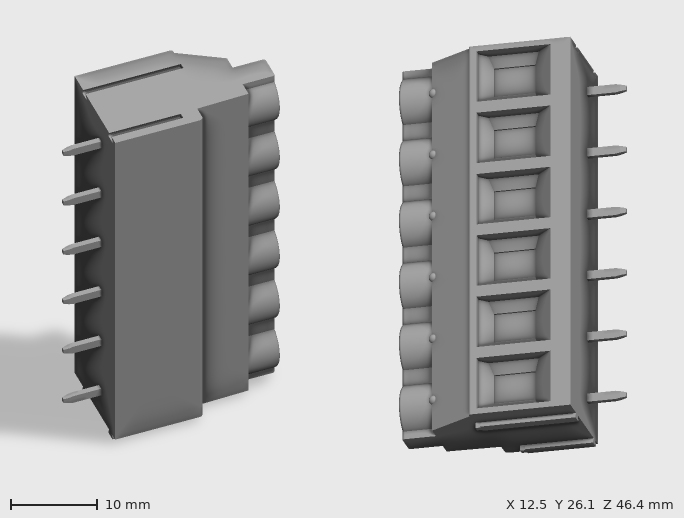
import cadquery as cq


POLES = 6
TOTAL_HEIGHT = 46.35
RIB_HEIGHT = 0.65
BODY_HEIGHT = TOTAL_HEIGHT - RIB_HEIGHT
PITCH = BODY_HEIGHT / POLES
POLE_CENTERS = [(pole + 0.5) * PITCH for pole in range(POLES)]

BODY_WIDTH = 12.5
BODY_TOP_Y = 21.45
SHOULDER_Y = 17.4
ENTRY_LEDGE_Y = 12.15
ENTRY_LEDGE_WIDTH = 0.55
ENTRY_EDGE_RADIUS = 0.3
BACK_STEP_Y = 11.0
BACK_STEP_X = 10.5
BACK_EDGE_RADIUS = 0.5
SHOULDER_START_X = 3.7
SHOULDER_END_X = 10.35

TOWER_X = 7.0
TOWER_RADIUS = 3.25
TOWER_EDGE_RADIUS = 0.32
WALL_THICKNESS = 3.1
BASE_OVERLAP = 0.45
BASE_Y = SHOULDER_Y - BASE_OVERLAP

BUMP_RADIUS = 0.55
BUMP_X = 3.85
BUMP_Y = 17.3

ENTRY_LOW_Y = 2.35
ENTRY_HIGH_Y = 11.15
ENTRY_HEIGHT = 6.25
SEAT_LOW_Y = 4.75
SEAT_HIGH_Y = 9.75
SEAT_HEIGHT = 3.5
FUNNEL_DEPTH = SEAT_LOW_Y - ENTRY_LOW_Y
HIGH_WALL_DEPTH = FUNNEL_DEPTH - (ENTRY_HIGH_Y - SEAT_HIGH_Y)
SIDE_WALL_DEPTH = 1.9
SEAT_DEPTH = 2.7

PIN_X = 7.88
PIN_WIDTH = 0.7
PIN_HEIGHT = 1.0
PIN_LENGTH = 4.65
PIN_ROOT = 0.45
TIP_WIDTH = 0.4
TIP_HEIGHT = 0.55
X_TAPER_START = 3.95
Z_TAPER_START = 3.45

DOVETAILS = [(3.0, 12.15), (11.03, 8.9)]
DOVETAIL_NECK = 0.75
DOVETAIL_BASE = 1.3
END_CLEARANCE = 0.15
TAPER_HEIGHT = 0.45
NOSE_LENGTH = 0.65


def make_housing():
    """Extrude the housing outline and round its two outer shoulders."""
    housing = (
        cq.Workplane("XY")
        .moveTo(0, 0)
        .lineTo(0, ENTRY_LEDGE_Y)
        .lineTo(ENTRY_LEDGE_WIDTH, ENTRY_LEDGE_Y)
        .lineTo(SHOULDER_START_X, SHOULDER_Y)
        .lineTo(SHOULDER_END_X, SHOULDER_Y)
        .lineTo(BACK_STEP_X, BACK_STEP_Y)
        .lineTo(BODY_WIDTH, BACK_STEP_Y)
        .lineTo(BODY_WIDTH, 0)
        .close()
        .extrude(BODY_HEIGHT)
    )
    entry_edge = cq.selectors.NearestToPointSelector((0, ENTRY_LEDGE_Y, BODY_HEIGHT / 2))
    back_edge = cq.selectors.NearestToPointSelector((BODY_WIDTH, BACK_STEP_Y, BODY_HEIGHT / 2))
    housing = housing.edges("|Z").edges(entry_edge).fillet(ENTRY_EDGE_RADIUS)
    return housing.edges("|Z").edges(back_edge).fillet(BACK_EDGE_RADIUS)


def make_wall():
    """Wall running the full height, rounded along its two long top edges."""
    return (
        cq.Workplane("XY")
        .box(WALL_THICKNESS, BODY_TOP_Y - BASE_Y, BODY_HEIGHT, centered=(True, False, False))
        .translate((TOWER_X, BASE_Y, 0))
        .faces(">Y")
        .edges("|Z")
        .fillet(TOWER_EDGE_RADIUS)
    )


def make_tower(center_z):
    """Round screw tower standing on the shoulder, with a rounded rim."""
    axis = cq.Vector(0, 1, 0)
    base = cq.Vector(TOWER_X, BASE_Y, center_z)
    tower = cq.Solid.makeCylinder(TOWER_RADIUS, BODY_TOP_Y - BASE_Y, base, axis)
    return cq.Workplane(tower).faces(">Y").edges().fillet(TOWER_EDGE_RADIUS)


def make_bump(center_z):
    """Small ball sunk where the sloped face meets the tower."""
    return cq.Workplane("XY").sphere(BUMP_RADIUS).translate((BUMP_X, BUMP_Y, center_z))


def make_entry(center_z):
    """Funnel-shaped wire entry: tapered mouth leading to a shallow rectangular seat."""
    mouth = (
        cq.Workplane("XY")
        .polyline([
            (0, ENTRY_LOW_Y),
            (FUNNEL_DEPTH, SEAT_LOW_Y),
            (FUNNEL_DEPTH, SEAT_HIGH_Y),
            (HIGH_WALL_DEPTH, ENTRY_HIGH_Y),
            (0, ENTRY_HIGH_Y),
        ])
        .close()
        .extrude(ENTRY_HEIGHT / 2, both=True)
    )
    side_taper = (
        cq.Workplane("XZ")
        .polyline([
            (0, -ENTRY_HEIGHT / 2),
            (SIDE_WALL_DEPTH, -ENTRY_HEIGHT / 2),
            (FUNNEL_DEPTH, -SEAT_HEIGHT / 2),
            (FUNNEL_DEPTH, SEAT_HEIGHT / 2),
            (SIDE_WALL_DEPTH, ENTRY_HEIGHT / 2),
            (0, ENTRY_HEIGHT / 2),
        ])
        .close()
        .extrude(-ENTRY_HIGH_Y)
    )
    seat = (
        cq.Workplane("XY")
        .box(SEAT_DEPTH, SEAT_HIGH_Y - SEAT_LOW_Y, SEAT_HEIGHT, centered=(False, False, True))
        .translate((0, SEAT_LOW_Y, 0))
    )
    return mouth.intersect(side_taper).union(seat).translate((0, 0, center_z))


def pin_outline(width, tip_width, taper_start):
    """Points (across, along Y) of a pin side that tapers towards its tip at -Y."""
    one_side = [
        (width / 2, PIN_ROOT),
        (width / 2, -taper_start),
        (tip_width / 2, -PIN_LENGTH),
    ]
    return one_side + [(-across, along) for across, along in reversed(one_side)]


def make_pin(center_z):
    """Rectangular pin whose tip tapers in X and, starting earlier, in Z."""
    across_x = (
        cq.Workplane("XY")
        .polyline(pin_outline(PIN_WIDTH, TIP_WIDTH, X_TAPER_START))
        .close()
        .extrude(PIN_HEIGHT / 2, both=True)
    )
    across_z = (
        cq.Workplane("ZY")
        .polyline(pin_outline(PIN_HEIGHT, TIP_HEIGHT, Z_TAPER_START))
        .close()
        .extrude(PIN_WIDTH / 2, both=True)
    )
    return across_x.intersect(across_z).translate((PIN_X, 0, center_z))


def make_dovetail(center_x, length):
    """Dovetail bar from the board face, widening downwards from Z = 0."""
    return (
        cq.Workplane("XZ")
        .polyline([
            (-DOVETAIL_NECK / 2, 0),
            (DOVETAIL_NECK / 2, 0),
            (DOVETAIL_BASE / 2, -TAPER_HEIGHT),
            (DOVETAIL_BASE / 2, -RIB_HEIGHT),
            (-DOVETAIL_BASE / 2, -RIB_HEIGHT),
            (-DOVETAIL_BASE / 2, -TAPER_HEIGHT),
        ])
        .close()
        .extrude(-length)
        .translate((center_x, 0, 0))
    )


def make_rib(center_x, length):
    """Dovetail bar with a straight nose as wide as its neck."""
    nose = (
        cq.Workplane("XY")
        .box(DOVETAIL_NECK, length, RIB_HEIGHT, centered=(True, False, False))
        .translate((center_x, 0, -RIB_HEIGHT))
    )
    return make_dovetail(center_x, length - NOSE_LENGTH).union(nose)


result = make_housing().union(make_wall())

for pole_z in POLE_CENTERS:
    result = result.union(make_tower(pole_z)).union(make_bump(pole_z)).union(make_pin(pole_z))
    result = result.cut(make_entry(pole_z))

for joint_x, slot_length in DOVETAILS:
    slot = make_dovetail(joint_x, slot_length).translate((0, 0, BODY_HEIGHT))
    result = result.union(make_rib(joint_x, slot_length - END_CLEARANCE)).cut(slot)